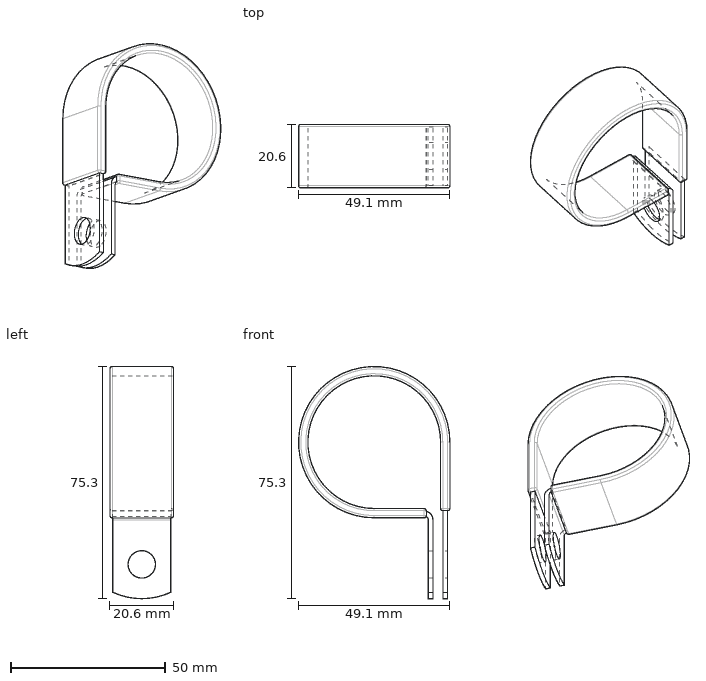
import cadquery as cq
import math

LOOP_RADIUS = 24.55
CUSHION_WIDTH = 20.6
CUSHION_COVER = 0.75
CUSHION_ROUND = 0.75
CUSHION_END_X = 16.9
CUSHION_END_Z = -22.2

STRAP_THICKNESS = 1.6
STRAP_WIDTH = 18.9
BENT_LEG_X = 19.05
BEND_RADIUS = 3.0
TIP_Z = LOOP_RADIUS - 75.3
TIP_SAGITTA = 2.1

HOLE_DIAMETER = 8.8
HOLE_Z = -39.6

strap_outer_radius = LOOP_RADIUS - CUSHION_COVER
strap_inner_radius = strap_outer_radius - STRAP_THICKNESS
cushion_inner_radius = strap_inner_radius - CUSHION_COVER
tip_corner_z = TIP_Z + TIP_SAGITTA


def arc_middle(radius):
    """Middle of the three-quarter loop, at its upper left."""
    offset = radius * math.sqrt(0.5)
    return (-offset, offset)


def make_loop(outer, inner, run_end_x, run_end_z, width):
    """Three-quarter ring with a straight run tangent to each end."""
    return (
        cq.Workplane("XZ")
        .moveTo(outer, run_end_z)
        .lineTo(outer, 0)
        .threePointArc(arc_middle(outer), (0, -outer))
        .lineTo(run_end_x, -outer)
        .lineTo(run_end_x, -inner)
        .lineTo(0, -inner)
        .threePointArc(arc_middle(inner), (inner, 0))
        .lineTo(inner, run_end_z)
        .close()
        .extrude(width / 2, both=True)
    )


def make_cushion():
    cushion = make_loop(LOOP_RADIUS, cushion_inner_radius, CUSHION_END_X, CUSHION_END_Z, CUSHION_WIDTH)
    middle_radius = (LOOP_RADIUS + cushion_inner_radius) / 2
    end_centers = [(CUSHION_END_X, 0, -middle_radius), (middle_radius, 0, CUSHION_END_Z)]
    rounded_edges = cushion.faces("<Y or >Y").edges()
    for center in end_centers:
        end_face = cushion.faces(cq.NearestToPointSelector(center))
        rounded_edges = rounded_edges.add(end_face.edges("|Y"))
    return rounded_edges.fillet(CUSHION_ROUND)


def make_bent_leg():
    """Quarter bend turning the horizontal run down into the second leg."""
    bend_start_x = BENT_LEG_X - BEND_RADIUS
    bend_end_z = -strap_inner_radius - BEND_RADIUS
    inner_bend = BEND_RADIUS - STRAP_THICKNESS
    return (
        cq.Workplane("XZ")
        .moveTo(bend_start_x, -strap_inner_radius)
        .radiusArc((BENT_LEG_X, bend_end_z), BEND_RADIUS)
        .lineTo(BENT_LEG_X, TIP_Z)
        .lineTo(BENT_LEG_X - STRAP_THICKNESS, TIP_Z)
        .lineTo(BENT_LEG_X - STRAP_THICKNESS, bend_end_z)
        .radiusArc((bend_start_x, -strap_outer_radius), -inner_bend)
        .close()
        .extrude(STRAP_WIDTH / 2, both=True)
    )


def make_strap():
    bend_start_x = BENT_LEG_X - BEND_RADIUS
    loop = make_loop(strap_outer_radius, strap_inner_radius, bend_start_x, TIP_Z, STRAP_WIDTH)
    leg_outline = (
        cq.Workplane("YZ")
        .moveTo(-STRAP_WIDTH / 2, LOOP_RADIUS)
        .lineTo(-STRAP_WIDTH / 2, tip_corner_z)
        .threePointArc((0, TIP_Z), (STRAP_WIDTH / 2, tip_corner_z))
        .lineTo(STRAP_WIDTH / 2, LOOP_RADIUS)
        .close()
        .extrude(LOOP_RADIUS, both=True)
    )
    bolt_hole = (
        cq.Workplane("YZ")
        .center(0, HOLE_Z)
        .circle(HOLE_DIAMETER / 2)
        .extrude(LOOP_RADIUS)
    )
    return loop.union(make_bent_leg()).intersect(leg_outline).cut(bolt_hole)


result = make_cushion().union(make_strap())